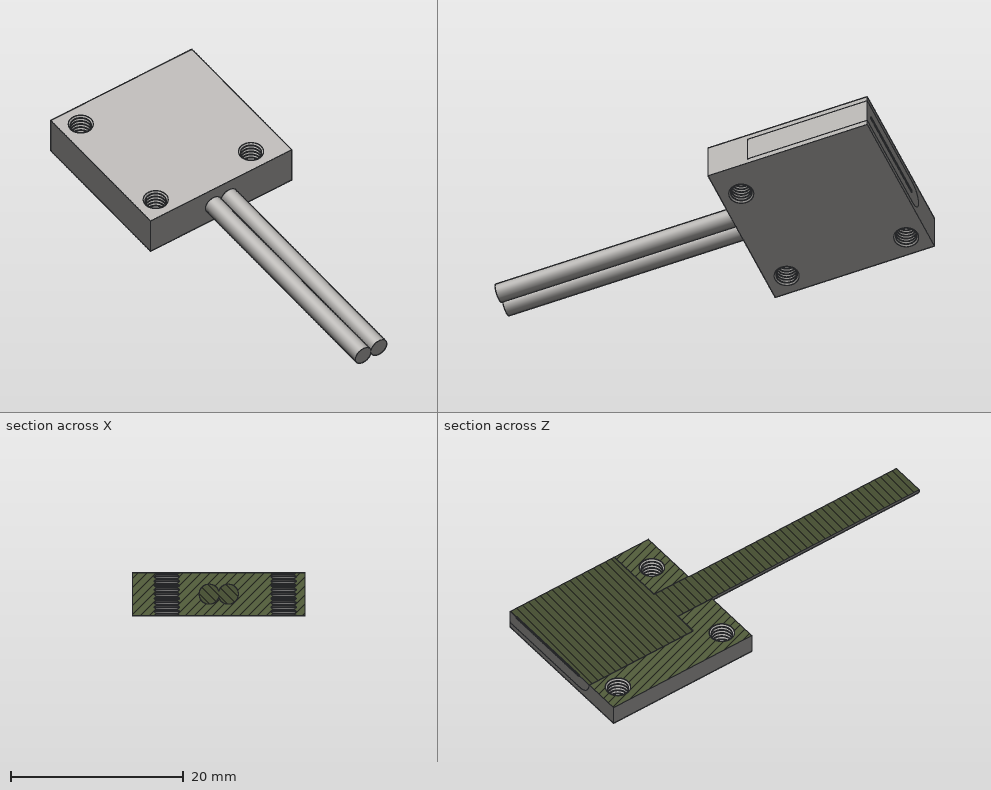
import cadquery as cq

housing_side = 20.0
housing_height = 5.0
half_side = housing_side / 2
half_height = housing_height / 2

insert_height = 3.5
insert_round_radius = insert_height / 2
insert_round_center_y = -3.5
insert_depth = 15.0

slit_width = 0.3
slit_start_y = -3.3
slit_end_y = 8.8
slit_depth = 0.1

wire_diameter = 2.25
wire_overlap = 0.03
wire_spacing = wire_diameter - wire_overlap
cable_free_length = 30.0

thread_diameter = 2.9
thread_bore_diameter = 2.46
thread_pitch = 0.5
thread_groove_flat = thread_pitch / 8
thread_ridge_flat = thread_pitch / 4
hole_inset = 2.5
upper_hole_inset = 4.0
hole_positions = [
    (-half_side + hole_inset, -half_side + hole_inset),
    (half_side - hole_inset, -half_side + hole_inset),
    (half_side - hole_inset, half_side - upper_hole_inset),
]


def make_insert_block():
    """Block with a half-round -Y side, running inward from the -X face."""
    return (
        cq.Workplane("YZ", origin=(-half_side, 0, 0))
        .moveTo(half_side, insert_round_radius)
        .lineTo(insert_round_center_y, insert_round_radius)
        .threePointArc(
            (insert_round_center_y - insert_round_radius, 0),
            (insert_round_center_y, -insert_round_radius),
        )
        .lineTo(half_side, -insert_round_radius)
        .close()
        .extrude(insert_depth)
    )


def make_cable():
    """Two parallel wires, slightly fused, from the insert to the free end."""
    cable_length = housing_side - insert_depth + cable_free_length
    cable_start = cq.Workplane("YZ", origin=(-half_side + insert_depth, 0, 0))
    cable = cable_start.center(-wire_spacing / 2, 0).circle(wire_diameter / 2).extrude(cable_length)
    return cable.union(cable.translate((0, wire_spacing, 0)))


def make_threaded_hole_cutter():
    """Solid of revolution with one trapezoidal groove per thread pitch over the plate height."""
    major_radius = thread_diameter / 2
    minor_radius = thread_bore_diameter / 2
    turns = round(housing_height / thread_pitch)
    outline = cq.Workplane("XZ").moveTo(0, -half_height).lineTo(major_radius, -half_height)
    for turn in range(turns):
        turn_base = -half_height + turn * thread_pitch
        outline = outline.lineTo(major_radius, turn_base + thread_groove_flat / 2)
        outline = outline.lineTo(minor_radius, turn_base + (thread_pitch - thread_ridge_flat) / 2)
        outline = outline.lineTo(minor_radius, turn_base + (thread_pitch + thread_ridge_flat) / 2)
        outline = outline.lineTo(major_radius, turn_base + thread_pitch - thread_groove_flat / 2)
    outline = outline.lineTo(major_radius, half_height).lineTo(0, half_height)
    return outline.close().revolve(360, (0, 0, 0), (0, 1, 0))


def make_sensor():
    """Insert and its cable as one body, with the slit cut in the exposed face."""
    slit = cq.Workplane("XY").box(
        slit_depth, slit_end_y - slit_start_y, slit_width, centered=(False, False, True)
    )
    slit = slit.translate((-half_side, slit_start_y, 0))
    return make_insert_block().union(make_cable()).cut(slit)


def make_housing():
    """Plate with the recess for the sensor, the cable passage and the threaded holes."""
    housing = cq.Workplane("XY").box(housing_side, housing_side, housing_height)
    housing = housing.cut(make_insert_block()).cut(make_cable())
    hole_cutter = make_threaded_hole_cutter()
    for x, y in hole_positions:
        housing = housing.cut(hole_cutter.translate((x, y, 0)))
    return housing


housing = make_housing()
sensor = make_sensor()

result = cq.Compound.makeCompound([housing.val(), sensor.val()])